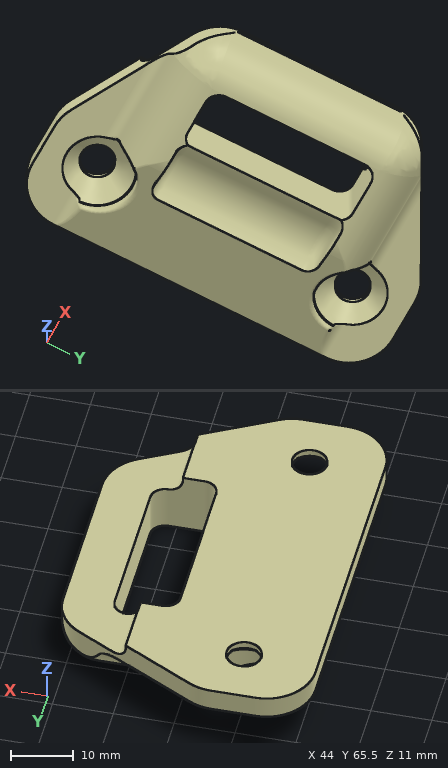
import cadquery as cq
import math


length = 44.0
width = 65.5
height = 11.0

plate_thickness = 4.0
plate_corner_radius = 8.0
taper_start_x = 17.35
front_edge_width = 37.2

step_x = 31.0
step_depth = 3.0
step_fillet = 2.5

slot_back_x = 25.0
slot_front_x = 35.8
slot_width = 30.0
slot_corner_radius = 2.4

body_width = 46.4
body_radius = 8.0
root_fillet = 2.0
nose_corner_radius = 7.0
ramp_angle = 19.0
ramp_edge_fillet = 0.6

hole_x = 12.1
hole_spacing = 46.4
hole_diameter = 5.7
countersink_diameter = 11.2
countersink_angle = 90.0
pocket_radius = 6.3
pocket_root_fillet = 1.2

scoop_x = 18.7
scoop_z = -4.0
scoop_radius = 8.0
scoop_end_fillet = 2.0

tolerance = 1e-3

plate_bottom = height - plate_thickness
body_half_width = body_width / 2
round_center_x = length - body_radius
round_center_y = body_half_width - body_radius
round_center_z = body_radius
ramp_foot_x = plate_bottom / math.tan(math.radians(ramp_angle))
blend_length = body_radius * math.tan(math.radians(ramp_angle / 2))
ramp_blend_x = ramp_foot_x - blend_length * math.cos(math.radians(ramp_angle))


def plate_prism(bottom, top):
    """The plate outline, extruded between two heights."""
    half_width = width / 2
    half_front = front_edge_width / 2
    outline = [
        (0, -half_width),
        (taper_start_x, -half_width),
        (length, -half_front),
        (length, half_front),
        (taper_start_x, half_width),
        (0, half_width),
    ]
    prism = cq.Workplane("XY").workplane(offset=bottom).polyline(outline).close().extrude(top - bottom)
    return prism.edges("|Z").fillet(plate_corner_radius)


def body_bar():
    """Straight part of the body: rounded lower edges, flared into the plate by root fillets."""
    root_center_z = plate_bottom - root_fillet
    center_distance = body_radius + root_fillet
    center_rise = root_center_z - round_center_z
    center_offset = math.sqrt(center_distance**2 - center_rise**2)
    root_y = round_center_y + center_offset
    share = body_radius / center_distance
    touch_y = round_center_y + share * center_offset
    touch_z = round_center_z + share * center_rise
    touch_angle = math.atan2(center_rise, center_offset)
    round_mid_angle = (touch_angle - math.pi / 2) / 2
    round_mid_y = round_center_y + body_radius * math.cos(round_mid_angle)
    round_mid_z = round_center_z + body_radius * math.sin(round_mid_angle)
    root_mid_angle = (math.pi / 2 + math.pi + touch_angle) / 2
    root_mid_y = root_y + root_fillet * math.cos(root_mid_angle)
    root_mid_z = root_center_z + root_fillet * math.sin(root_mid_angle)
    return (
        cq.Workplane("YZ")
        .moveTo(-round_center_y, 0)
        .lineTo(round_center_y, 0)
        .threePointArc((round_mid_y, round_mid_z), (touch_y, touch_z))
        .threePointArc((root_mid_y, root_mid_z), (root_y, plate_bottom))
        .lineTo(-root_y, plate_bottom)
        .threePointArc((-root_mid_y, root_mid_z), (-touch_y, touch_z))
        .threePointArc((-round_mid_y, round_mid_z), (-round_center_y, 0))
        .close()
        .extrude(round_center_x)
    )


def is_nose_corner(edge):
    """True for the upright front edges and the mitred edges that continue them downward."""
    return edge.Center().x > round_center_x


def body_nose():
    """Front end of the body: rounded lower edges, then rounded upright corners."""
    nose = cq.Workplane("XY").box(length, body_width, height, centered=(False, True, False))
    nose = nose.edges("<Z and (>X or <Y or >Y)").fillet(body_radius)
    front_corners = nose.edges("(not #Z) and (not |X) and (not |Y)").filter(is_nose_corner)
    nose = front_corners.fillet(nose_corner_radius)
    keep = cq.Workplane("XY").box(length, width, plate_bottom, centered=(False, True, False))
    return nose.intersect(keep)


def ramp_prism():
    """Side profile with the ramp rising to the back edge, blended into the flat underside."""
    profile = [(0, plate_bottom), (ramp_foot_x, 0), (length, 0), (length, plate_bottom)]
    prism = cq.Workplane("XZ").polyline(profile).close().extrude(width / 2, both=True)
    blend_edge = cq.selectors.NearestToPointSelector((ramp_foot_x, 0, 0))
    return prism.edges(blend_edge).fillet(body_radius)


def head_pocket(side):
    """Screw head clearance under the plate, with a rounded upper rim."""
    pocket = cq.Workplane("XY", origin=(hole_x, side * hole_spacing / 2, 0))
    return pocket.circle(pocket_radius).extrude(plate_bottom).faces(">Z").edges().fillet(pocket_root_fillet)


def is_ramp_edge(edge):
    """True for the ramp's curved borders and the pocket rims that stay clear of the plate."""
    bounds = edge.BoundingBox()
    on_ramp_stretch = edge.Center().x < ramp_foot_x and bounds.xmin < ramp_blend_x - tolerance
    if edge.geomType() == "BSPLINE":
        return on_ramp_stretch and bounds.zmax < plate_bottom - tolerance
    return on_ramp_stretch and edge.geomType() == "ELLIPSE"


def body():
    """Bar and nose with the ramp cut off the back, head pockets and softened ramp edges."""
    blank = body_bar().union(body_nose()).intersect(ramp_prism())
    for side in (-1, 1):
        blank = blank.cut(head_pocket(side))
    blank = blank.edges().filter(is_ramp_edge).fillet(ramp_edge_fillet)
    return blank.intersect(plate_prism(0, plate_bottom))


def step_cut():
    """Lowered front of the top face, with a fillet at the foot of its wall."""
    cut = cq.Workplane("XY", origin=(step_x, 0, height - step_depth))
    cut = cut.box(length, width, height, centered=(False, True, False))
    return cut.edges("<X and <Z").fillet(step_fillet)


def slot_cut():
    slot_length = slot_front_x - slot_back_x
    cut = cq.Workplane("XY", origin=((slot_back_x + slot_front_x) / 2, 0, 0))
    return cut.rect(slot_length, slot_width).extrude(height).edges("|Z").fillet(slot_corner_radius)


def scoop_cut():
    """Scoop across the ramp: a lying cylinder with rounded ends."""
    axis = cq.Workplane("XZ", origin=(scoop_x, slot_width / 2, scoop_z))
    return axis.circle(scoop_radius).extrude(slot_width).edges().fillet(scoop_end_fillet)


def screw_hole(side):
    """Through hole with a countersink that opens downward as far as the pocket wall."""
    hole_radius = hole_diameter / 2
    cone_slope = 1 / math.tan(math.radians(countersink_angle / 2))
    cone_top_z = plate_bottom + (countersink_diameter / 2 - hole_radius) * cone_slope
    cone_bottom_z = cone_top_z - (pocket_radius - hole_radius) * cone_slope
    profile = [
        (0, cone_bottom_z),
        (pocket_radius, cone_bottom_z),
        (hole_radius, cone_top_z),
        (hole_radius, height),
        (0, height),
    ]
    hole = cq.Workplane("XZ").polyline(profile).close().revolve(360, (0, 0, 0), (0, 1, 0))
    return hole.translate((hole_x, side * hole_spacing / 2, 0))


result = plate_prism(plate_bottom, height).union(body())
result = result.cut(step_cut()).cut(slot_cut()).cut(scoop_cut())
for hole_side in (-1, 1):
    result = result.cut(screw_hole(hole_side))